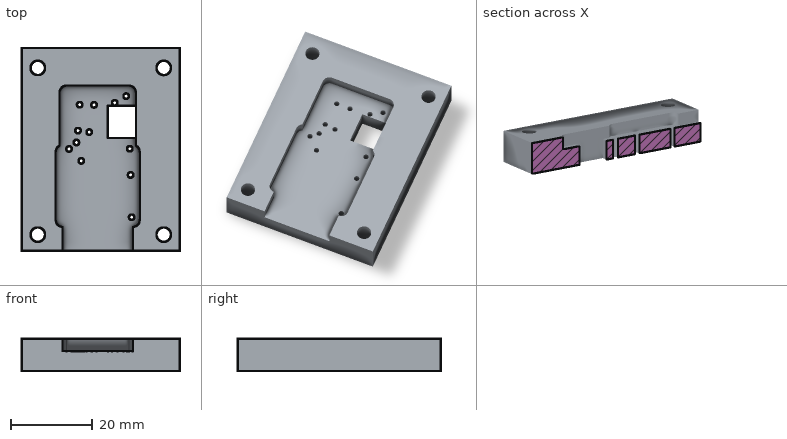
import cadquery as cq

plate_width = 39
plate_length = 50
plate_height = 8

mount_diameter = 3.5
mount_x = 15.5
mount_rear_y = 20.05
mount_front_y = -21

pocket_depth = 3.1
corner_radius = 1.75
rear_left, rear_right = -10.15, 8.65
rear_end_y = 15.7
middle_left, middle_right = -11.1, 9.6
middle_front_y, middle_rear_y = -19.1, 1.1
pocket_middle_y = (middle_front_y + middle_rear_y) / 2
channel_left, channel_right = -9.4, 7.9

window_left, window_right = 1.75, rear_right
window_front_y, window_rear_y = 2.85, 10.7

pin_diameter = 1.3
pin_positions = [
    (6.25, 13.1),
    (3.45, 11.45),
    (-5.2, 11.0),
    (-1.65, 10.95),
    (-5.6, 4.6),
    (-2.85, 4.25),
    (-6, 1.7),
    (7.15, 0.15),
    (-7.8, 0.1),
    (-4.8, -2.85),
    (7.35, -6.3),
    (7.6, -16.7),
]


def block(left, right, front, rear, depth):
    """Rectangular cutter reaching down from the top face by the given depth."""
    return cq.Workplane("XY").box(
        right - left, rear - front, depth, centered=False
    ).translate((left, front, plate_height - depth))


def through_holes(positions, diameter):
    """Cylinders as tall as the plate at each position."""
    return cq.Workplane("XY").pushPoints(positions).circle(diameter / 2).extrude(plate_height)


plate = cq.Workplane("XY").box(plate_width, plate_length, plate_height, centered=(True, True, False))

rear_pocket = block(rear_left, rear_right, pocket_middle_y, rear_end_y, pocket_depth)
rear_pocket = rear_pocket.edges("|Z and >Y").fillet(corner_radius)
middle_pocket = block(middle_left, middle_right, middle_front_y, middle_rear_y, pocket_depth)
middle_pocket = middle_pocket.edges("|Z").fillet(corner_radius)
channel = block(channel_left, channel_right, -plate_length / 2, pocket_middle_y, pocket_depth)
window = block(window_left, window_right, window_front_y, window_rear_y, plate_height)

mount_positions = [(side * mount_x, y) for side in (-1, 1) for y in (mount_front_y, mount_rear_y)]

result = (
    plate.cut(rear_pocket)
    .cut(middle_pocket)
    .cut(channel)
    .cut(window)
    .cut(through_holes(mount_positions, mount_diameter))
    .cut(through_holes(pin_positions, pin_diameter))
)